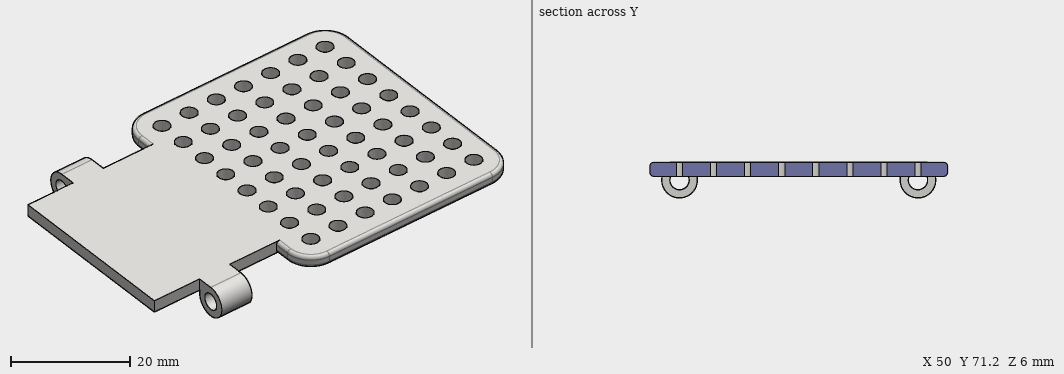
import cadquery as cq

plate_width = 50.0
plate_length = 45.0
thickness = 2.4
corner_radius = 5.0
edge_fillet = 0.7

hole_diameter = 3.0
columns = 8
rows = 7
column_pitch = (plate_width - 2 * corner_radius) / (columns - 1)
row_pitch = (plate_length - 2 * corner_radius) / (rows - 1)

tongue_width = 34.0
tongue_length = 26.19

barrel_diameter = 6.0
barrel_bore_diameter = 3.2
barrel_length = 6.5
barrel_to_plate = 10.0
barrel_radius = barrel_diameter / 2
barrel_x = tongue_width / 2 + barrel_radius
barrel_z = thickness - barrel_radius

plate_front_y = -plate_length / 2
tongue_front_y = plate_front_y - tongue_length
barrel_front_y = plate_front_y - barrel_to_plate - barrel_length


def make_plate():
    """Rounded rectangular plate with both rims filleted."""
    plate = cq.Workplane("XY").rect(plate_width, plate_length).extrude(thickness)
    plate = plate.edges("|Z").fillet(corner_radius)
    return plate.faces("<Z or >Z").edges().fillet(edge_fillet)


def make_tongue():
    """Flat tongue, overlapping the plate past its filleted rim."""
    overlap = corner_radius / 2
    tongue = cq.Workplane("XY").box(
        tongue_width, tongue_length + overlap, thickness, centered=(True, False, False)
    )
    return tongue.translate((0, tongue_front_y, 0))


def make_barrel(side):
    """Barrel along Y with a square shoulder to the tongue; side is -1 or +1."""
    tongue_side_x = side * tongue_width / 2
    outer_x = side * (barrel_x + barrel_radius)
    center_x = side * barrel_x
    profile = (
        cq.Workplane("XZ", origin=(0, barrel_front_y, 0))
        .moveTo(tongue_side_x, thickness)
        .lineTo(center_x, thickness)
        .threePointArc((outer_x, barrel_z), (center_x, barrel_z - barrel_radius))
        .radiusArc((tongue_side_x, barrel_z), side * barrel_radius)
        .close()
    )
    return profile.extrude(-barrel_length)


def make_barrel_bores():
    """Through bores of both barrels."""
    return (
        cq.Workplane("XZ", origin=(0, barrel_front_y, 0))
        .pushPoints([(-barrel_x, barrel_z), (barrel_x, barrel_z)])
        .circle(barrel_bore_diameter / 2)
        .extrude(-barrel_length)
    )


def make_plate_holes():
    """Grid of through holes in the plate."""
    return (
        cq.Workplane("XY")
        .rarray(column_pitch, row_pitch, columns, rows)
        .circle(hole_diameter / 2)
        .extrude(thickness)
    )


result = make_plate().union(make_tongue())
for side in (-1, 1):
    result = result.union(make_barrel(side))
result = result.cut(make_barrel_bores()).cut(make_plate_holes())